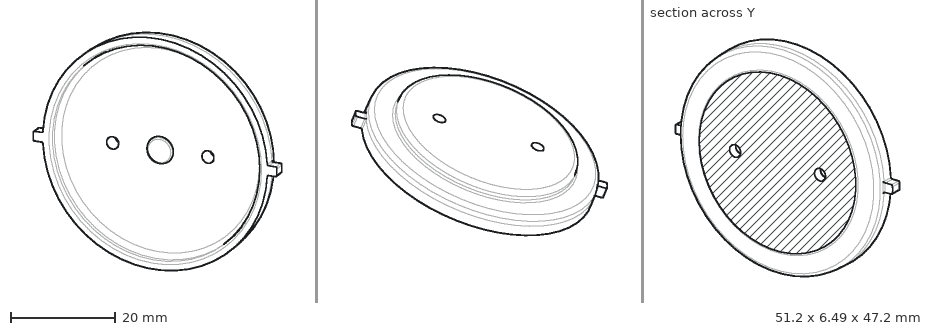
import cadquery as cq
import math

rim_radius = 23.58
wall_break_radius = 23.53
wall_break_height = 2.3
shoulder_radius = 23.42
shoulder_height = 4.31
shoulder_round = 0.9

overall_height = 6.49
disc_radius = 18.43
disc_round = 1.0
disc_foot_round = 0.4

mouth_round = 0.5
recess_radius = 21.8
recess_depth = 2.49
recess_round = 1.05

stud_base_radius = 2.75
stud_top_radius = 2.6
stud_height = 0.5
stud_round = 0.3

hole_diameter = 2.5
hole_offset = 10.0

tab_tip_radius = 25.58
tab_width = 2.0
tab_height = 2.35
tab_round = 0.3
root_margin = 0.1

ARC_MID = 1 - math.sqrt(0.5)


def make_cap():
    """Turned outer body: rim, tapered wall, rounded shoulder and raised disc."""
    shoulder_start = shoulder_height - shoulder_round
    disc_round_start = overall_height - disc_round
    shoulder_arc_mid = (
        shoulder_radius - ARC_MID * shoulder_round,
        shoulder_height - ARC_MID * shoulder_round,
    )
    foot_arc_mid = (
        disc_radius + ARC_MID * disc_foot_round,
        shoulder_height + ARC_MID * disc_foot_round,
    )
    disc_arc_mid = (
        disc_radius - ARC_MID * disc_round,
        overall_height - ARC_MID * disc_round,
    )
    profile = (
        cq.Workplane("XY")
        .lineTo(rim_radius, 0)
        .lineTo(wall_break_radius, wall_break_height)
        .lineTo(shoulder_radius, shoulder_start)
        .threePointArc(shoulder_arc_mid, (shoulder_radius - shoulder_round, shoulder_height))
        .lineTo(disc_radius + disc_foot_round, shoulder_height)
        .threePointArc(foot_arc_mid, (disc_radius, shoulder_height + disc_foot_round))
        .lineTo(disc_radius, disc_round_start)
        .threePointArc(disc_arc_mid, (disc_radius - disc_round, overall_height))
        .lineTo(0, overall_height)
        .close()
    )
    return profile.revolve(360, (0, 0, 0), (0, 1, 0))


def make_recess():
    """Cutter for the recess: rounded mouth, straight wall and rounded floor edge."""
    mouth_arc_mid = (
        recess_radius + ARC_MID * mouth_round,
        ARC_MID * mouth_round,
    )
    floor_arc_mid = (
        recess_radius - ARC_MID * recess_round,
        recess_depth - ARC_MID * recess_round,
    )
    profile = (
        cq.Workplane("XY")
        .lineTo(recess_radius + mouth_round, 0)
        .threePointArc(mouth_arc_mid, (recess_radius, mouth_round))
        .lineTo(recess_radius, recess_depth - recess_round)
        .threePointArc(floor_arc_mid, (recess_radius - recess_round, recess_depth))
        .lineTo(0, recess_depth)
        .close()
    )
    return profile.revolve(360, (0, 0, 0), (0, 1, 0))


def make_stud():
    """Tapered, round-edged stud standing on the recess floor, pointing out of the open face."""
    taper_angle = math.degrees(math.atan((stud_base_radius - stud_top_radius) / stud_height))
    return (
        cq.Workplane("XZ", origin=(0, recess_depth, 0))
        .circle(stud_base_radius)
        .extrude(stud_height, taper=taper_angle)
        .faces("<Y")
        .edges()
        .fillet(stud_round)
    )


def make_tabs():
    """Bar across the cap, trimmed to a round tip at both ends, with rounded tip corners."""
    bar = cq.Workplane("XY").box(
        2 * (tab_tip_radius + tab_width), tab_height, tab_width, centered=(True, False, True)
    )
    tip_cylinder = cq.Workplane("XZ").circle(tab_tip_radius).extrude(-tab_height)
    return bar.intersect(tip_cylinder).edges("|Y").fillet(tab_round)


def round_tab_roots(body):
    """Blend the tab sides and backs into the rim wall."""
    outer_x = rim_radius + root_margin
    inner_x = rim_radius - root_margin
    low_y = root_margin
    high_y = tab_height + root_margin
    half_z = tab_width / 2 + root_margin
    left_root = cq.selectors.BoxSelector((-outer_x, low_y, -half_z), (-inner_x, high_y, half_z))
    right_root = cq.selectors.BoxSelector((inner_x, low_y, -half_z), (outer_x, high_y, half_z))
    return body.edges(left_root + right_root).fillet(tab_round)


def make_holes():
    """Cutters for the two through holes either side of the stud."""
    return (
        cq.Workplane("XZ")
        .pushPoints([(-hole_offset, 0), (hole_offset, 0)])
        .circle(hole_diameter / 2)
        .extrude(-overall_height)
    )


outside = make_cap().union(make_tabs())
outside = round_tab_roots(outside)
result = outside.cut(make_recess()).union(make_stud()).cut(make_holes())